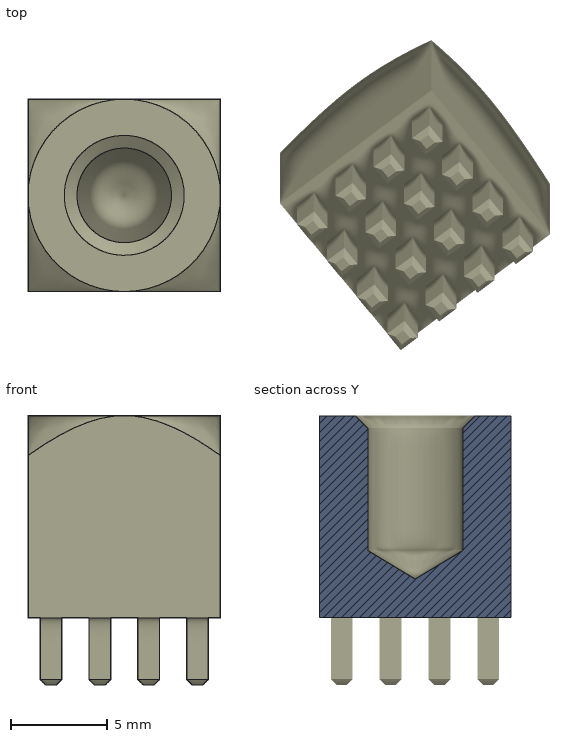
import cadquery as cq
import math

block_width = 10.0
total_height = 14.0
pin_length = 3.5
block_height = total_height - pin_length

hole_diameter = 4.91
mouth_diameter = 6.23
hole_depth = 7.0
drill_point_angle = 118.0
hole_radius = hole_diameter / 2
mouth_radius = mouth_diameter / 2
countersink_depth = mouth_radius - hole_radius
drill_point_depth = hole_radius / math.tan(math.radians(drill_point_angle / 2))

pins_per_side = 4
pin_pitch = 2.53
pin_width = 1.13
tip_length = 0.3
tip_width = pin_width - 2 * tip_length
shank_length = pin_length - tip_length


def revolve_about_z(profile):
    """Solid of revolution about Z from a list of (radius, height) points."""
    return cq.Workplane("XZ").polyline(profile).close().revolve(360, (0, 0), (0, 1))


def make_block():
    """Square block whose top corners are turned down by a 45 degree cone."""
    block = cq.Workplane("XY").rect(block_width, block_width).extrude(block_height)
    top_radius = block_width / 2
    cone = revolve_about_z([
        (0, 0),
        (top_radius + block_height, 0),
        (top_radius, block_height),
        (0, block_height),
    ])
    return block.intersect(cone)


def make_hole():
    """Volume removed by the blind hole, with its countersink and drill point."""
    hole_floor = block_height - hole_depth
    return revolve_about_z([
        (0, hole_floor - drill_point_depth),
        (hole_radius, hole_floor),
        (hole_radius, block_height - countersink_depth),
        (mouth_radius, block_height),
        (0, block_height),
    ])


def make_pin():
    """Square pin hanging below Z = 0, tapering at its tip."""
    shank = cq.Workplane("XY").rect(pin_width, pin_width).extrude(-shank_length)
    tip = (
        cq.Workplane("XY", origin=(0, 0, -shank_length))
        .rect(pin_width, pin_width)
        .workplane(offset=-tip_length)
        .rect(tip_width, tip_width)
        .loft(ruled=True)
    )
    return shank.union(tip)


result = make_block().cut(make_hole())

pin = make_pin()
first_pin = -pin_pitch * (pins_per_side - 1) / 2
for column in range(pins_per_side):
    for row in range(pins_per_side):
        pin_x = first_pin + column * pin_pitch
        pin_y = first_pin + row * pin_pitch
        result = result.union(pin.translate((pin_x, pin_y, 0)))